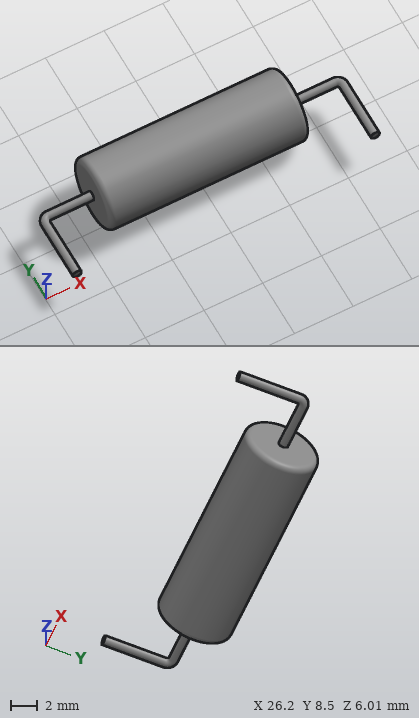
import cadquery as cq
import math

overall_length = 26.15
body_length = 17.0
body_diameter = 6.01
body_edge_radius = 0.5
lead_diameter = 0.75
lead_drop = 5.5
bend_radius = 0.5

lead_x = (overall_length - lead_diameter) / 2
bend_start_x = lead_x - bend_radius
bend_middle_x = bend_start_x + bend_radius * math.sin(math.pi / 4)
bend_middle_y = bend_radius * (math.cos(math.pi / 4) - 1)


def make_body():
    """Cylinder along X with rounded end rims."""
    start = cq.Workplane("YZ").workplane(offset=-body_length / 2)
    cylinder = start.circle(body_diameter / 2).extrude(body_length)
    return cylinder.edges("%CIRCLE").fillet(body_edge_radius)


def make_right_lead():
    """Round wire from the body centre along +X, bent down to -Y."""
    path = (
        cq.Workplane("XY")
        .lineTo(bend_start_x, 0)
        .threePointArc((bend_middle_x, bend_middle_y), (lead_x, -bend_radius))
        .lineTo(lead_x, -lead_drop)
    )
    return cq.Workplane("YZ").circle(lead_diameter / 2).sweep(path)


right_lead = make_right_lead()
left_lead = right_lead.mirror("YZ")

result = make_body().union(right_lead).union(left_lead)